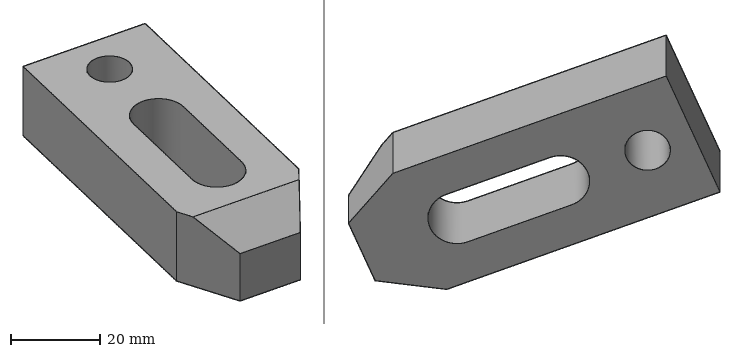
import cadquery as cq
import math

length = 80.0
width = 32.0
height = 19.0

nose_angle = math.radians(30.0)
taper_length = 14.0
taper_inset = taper_length * math.tan(nose_angle)
slope_drop = 6.0
slope_length = slope_drop / math.tan(nose_angle)

hole_diameter = 10.2
hole_x = 11.0

slot_width = 13.0
slot_length = 38.0
slot_start_x = 25.5
slot_center_x = slot_start_x + slot_length / 2


def make_body():
    """Bar with its back face at X = 0, narrowing symmetrically toward the nose."""
    half_width = width / 2
    nose_half_width = half_width - taper_inset
    taper_start_x = length - taper_length
    outline = [
        (0, -half_width),
        (taper_start_x, -half_width),
        (length, -nose_half_width),
        (length, nose_half_width),
        (taper_start_x, half_width),
        (0, half_width),
    ]
    return cq.Workplane("XY").polyline(outline).close().extrude(height)


def make_nose_wedge():
    """Material removed above the sloped top of the nose."""
    corners = [
        (length - slope_length, height),
        (length, height),
        (length, height - slope_drop),
    ]
    return cq.Workplane("XZ").polyline(corners).close().extrude(width / 2, both=True)


def make_hole():
    return cq.Workplane("XY").center(hole_x, 0).circle(hole_diameter / 2).extrude(height)


def make_slot():
    return cq.Workplane("XY").center(slot_center_x, 0).slot2D(slot_length, slot_width).extrude(height)


result = make_body().cut(make_nose_wedge()).cut(make_hole()).cut(make_slot())